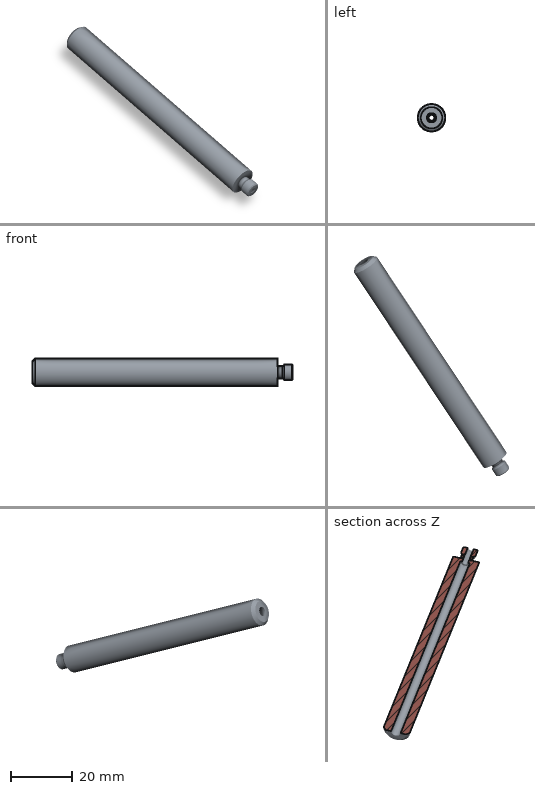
import cadquery as cq

total_length = 85.0
handle_length = 80.0
handle_radius = 4.5
handle_chamfer = 1.0
bore_radius = 1.5
bore_depth = handle_length - bore_radius
passage_radius = 0.9

core_radius = 1.3
ring_width = 1.5
ring_edge_radius = 0.3
ring_outer_radius = 2.0

tip_radius = 2.55
tip_lead_in = 0.7
tip_chamfer = 0.3

left_end = -total_length / 2
shoulder = left_end + handle_length
groove_end = shoulder + ring_width
right_end = total_length / 2


def make_handle():
    """Round handle with a grooved tip, bored along its whole length."""
    outline = [
        (left_end, passage_radius),
        (left_end, handle_radius - handle_chamfer),
        (left_end + handle_chamfer, handle_radius),
        (shoulder, handle_radius),
        (shoulder, core_radius),
        (groove_end, core_radius),
        (groove_end, tip_radius - tip_lead_in),
        (groove_end + tip_lead_in, tip_radius),
        (right_end - tip_chamfer, tip_radius),
        (right_end, tip_radius - tip_chamfer),
        (right_end, passage_radius),
    ]
    body = cq.Workplane("XY").polyline(outline).close().revolve(360, (0, 0, 0), (1, 0, 0))
    bore = cq.Workplane("YZ", origin=(left_end, 0, 0)).circle(bore_radius).extrude(bore_depth)
    return body.cut(bore)


def make_ring():
    """Sealing ring with rounded edges that fills the groove."""
    ring = (
        cq.Workplane("YZ", origin=(shoulder, 0, 0))
        .circle(ring_outer_radius)
        .circle(core_radius)
        .extrude(ring_width)
    )
    return ring.edges().fillet(ring_edge_radius)


handle = make_handle()
ring = make_ring()
result = cq.Compound.makeCompound([handle.val(), ring.val()])